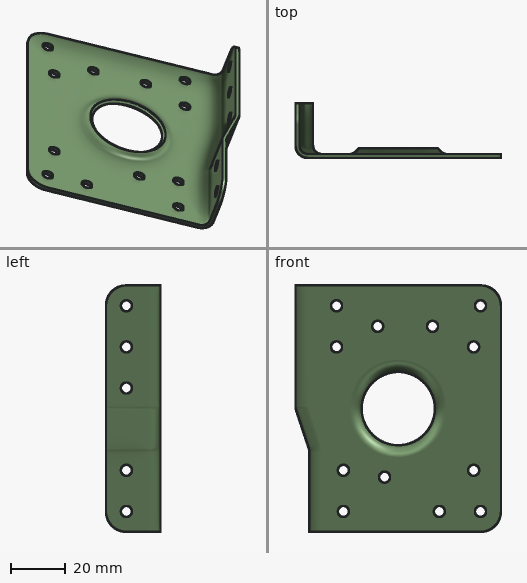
import cadquery as cq
import math

height = 90.0
grid = height / 36
width = 30 * grid
flange_depth = 8 * grid
corner_radius = 3 * grid
hole_diameter = 4.0

outer_radius = 4.5
thickness = outer_radius / 3
inner_radius = outer_radius - thickness

jog_step = 2 * grid
jog_bottom = 12 * grid
jog_top = 18 * grid
jog_angle = math.atan2(jog_step, jog_top - jog_bottom)
jog_sin = math.sin(jog_angle)
jog_cos = math.cos(jog_angle)
tangent_length = outer_radius * math.tan(jog_angle / 2)
jog_length = math.hypot(jog_step, jog_top - jog_bottom) - 2 * tangent_length

opening_x = 15 * grid
opening_z = height / 2
rim_radius = 17.7
lip_angle = math.radians(45)
lip_rise = 3.6

plate_holes = [
    (7, 3), (21, 3), (27, 3), (13, 8), (7, 9), (26, 9),
    (6, 27), (26, 27), (12, 30), (20, 30), (6, 33), (27, 33),
]
flange_holes = [3, 9, 21, 27, 33]


def flange_section(origin, angle):
    """Flange and its bend, drawn square to a path leaning by angle towards -X."""
    plane = cq.Plane(
        origin=origin,
        xDir=(math.cos(angle), 0, math.sin(angle)),
        normal=(-math.sin(angle), 0, math.cos(angle)),
    )
    diagonal = math.sqrt(0.5)
    outer_mid = outer_radius * (1 - diagonal)
    inner_mid = outer_radius - inner_radius * diagonal
    return (
        cq.Workplane(plane)
        .moveTo(outer_radius, 0)
        .threePointArc((outer_mid, outer_mid), (0, outer_radius))
        .lineTo(0, flange_depth)
        .lineTo(thickness, flange_depth)
        .lineTo(thickness, outer_radius)
        .threePointArc((inner_mid, inner_mid), (outer_radius, thickness))
        .close()
    )


def make_flange():
    """Two upright stretches joined by a leaning one through two round bends."""
    lower_end = (jog_step, 0, jog_bottom - tangent_length)
    jog_start = (
        jog_step - tangent_length * jog_sin,
        0,
        jog_bottom + tangent_length * jog_cos,
    )
    jog_end = (
        tangent_length * jog_sin,
        0,
        jog_top - tangent_length * jog_cos,
    )
    upper_start = (0, 0, jog_top + tangent_length)
    turn = math.degrees(jog_angle)

    lower = flange_section((jog_step, 0, 0), 0).extrude(lower_end[2])
    lower_bend = flange_section(lower_end, 0).revolve(
        turn, (-outer_radius, 0), (-outer_radius, -1)
    )
    leaning = flange_section(jog_start, jog_angle).extrude(jog_length)
    upper_bend = flange_section(jog_end, jog_angle).revolve(
        turn, (outer_radius, 0), (outer_radius, 1)
    )
    upper = flange_section(upper_start, 0).extrude(height - upper_start[2])
    return lower.union(lower_bend).union(leaning).union(upper_bend).union(upper)


def make_plate():
    """Flat plate whose left edge follows the inner end of the flange bend."""
    bend_radius = 2 * outer_radius
    bend_centre_x = jog_step - outer_radius
    bend_start_z = jog_bottom - tangent_length

    def bend_point(angle):
        return (
            bend_centre_x + bend_radius * math.cos(angle),
            bend_start_z + bend_radius * math.sin(angle),
        )

    plate = (
        cq.Workplane("XZ")
        .moveTo(width, 0)
        .lineTo(jog_step + outer_radius, 0)
        .lineTo(*bend_point(0))
        .threePointArc(bend_point(jog_angle / 2), bend_point(jog_angle))
        .lineTo(outer_radius, jog_top + tangent_length)
        .lineTo(outer_radius, height)
        .lineTo(width, height)
        .close()
        .extrude(-thickness)
    )
    return plate.edges("|Y and >X").fillet(corner_radius)


def make_lip():
    """Ring around the opening: a round bend followed by a straight cone."""
    def bend_point(radius, angle):
        return (rim_radius - radius * math.sin(angle), outer_radius - radius * math.cos(angle))

    front_end = bend_point(outer_radius, lip_angle)
    back_end = bend_point(inner_radius, lip_angle)
    cone_rise = lip_rise - back_end[1]
    cone_run = cone_rise / math.tan(lip_angle)
    return (
        cq.Workplane("XY")
        .moveTo(rim_radius, 0)
        .threePointArc(bend_point(outer_radius, lip_angle / 2), front_end)
        .lineTo(front_end[0] - cone_run, front_end[1] + cone_rise)
        .lineTo(back_end[0] - cone_run, lip_rise)
        .lineTo(*back_end)
        .threePointArc(bend_point(inner_radius, lip_angle / 2), (rim_radius, thickness))
        .close()
        .revolve(360, (0, 0), (0, 1))
        .translate((opening_x, 0, opening_z))
    )


def plate_cutter(points, diameter):
    return cq.Workplane("XZ").pushPoints(points).circle(diameter / 2).extrude(-thickness)


def round_flange_corners(flange):
    """Round the two free corners of the flange."""
    return flange.edges("|X and >Y").edges("<Z or >Z").fillet(corner_radius)


def flange_cutter():
    hole_y = flange_depth - corner_radius
    points = [(hole_y, z * grid) for z in flange_holes]
    cut_length = jog_step + thickness
    return cq.Workplane("YZ").pushPoints(points).circle(hole_diameter / 2).extrude(cut_length)


flange = round_flange_corners(make_flange()).cut(flange_cutter())
hole_points = [(x * grid, z * grid) for x, z in plate_holes]
plate = (
    make_plate()
    .cut(plate_cutter([(opening_x, opening_z)], 2 * rim_radius))
    .cut(plate_cutter(hole_points, hole_diameter))
)
result = plate.union(make_lip()).union(flange)